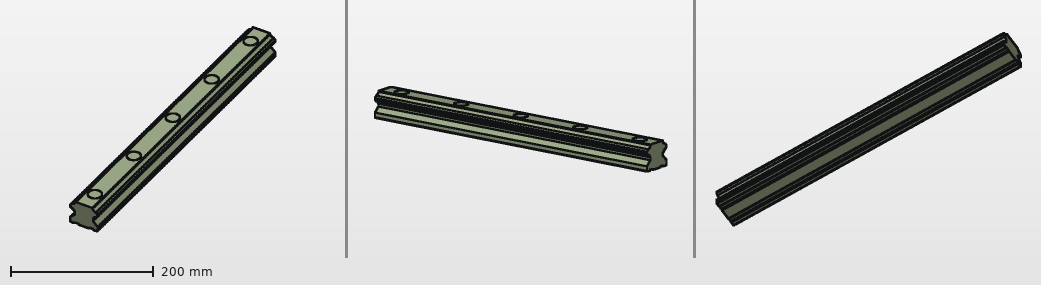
import cadquery as cq
import math

LENGTH = 480.0
WIDTH = 45.0
HEIGHT = 38.0
HALF_WIDTH = WIDTH / 2

TOP_HALF_WIDTH = 14.0
TOP_LAND = 1.5
TRACK_EDGE_HALF_WIDTH = 19.5
HEAD_SIDE_TOP = 29.5
HEAD_SIDE_BOTTOM = 27.0
TRACK_LIP = HALF_WIDTH - TRACK_EDGE_HALF_WIDTH
TRACK_SAG = 0.7

WAIST_HALF_WIDTH = 15.0
WAIST_TOP = 19.5
WAIST_BOTTOM = 15.5
FOOT_SIDE_TOP = 8.0
FOOT_BEVEL = 1.5

RELIEF_INNER = 8.0
RELIEF_OUTER = 16.0
RELIEF_DEPTH = 1.5

CAP_COUNT = 5
CAP_PITCH = 105.0
CAP_DIAMETER = 20.0
CAP_RECESS = 0.25


def arc_middle(start, end, sag):
    """Middle point of an arc bowed by sag to the right of the line from start to end."""
    dx = end[0] - start[0]
    dz = end[1] - start[1]
    chord = math.hypot(dx, dz)
    middle_x = (start[0] + end[0]) / 2 + sag * dz / chord
    middle_z = (start[1] + end[1]) / 2 - sag * dx / chord
    return middle_x, middle_z


def half_profile():
    """Right half of the rail cross-section, closed along the centre plane."""
    upper_start = (TOP_HALF_WIDTH, HEIGHT - TOP_LAND)
    upper_end = (TRACK_EDGE_HALF_WIDTH, HEAD_SIDE_TOP + TRACK_LIP)
    lower_start = (TRACK_EDGE_HALF_WIDTH, HEAD_SIDE_BOTTOM - TRACK_LIP)
    lower_end = (WAIST_HALF_WIDTH, WAIST_TOP)
    return (
        cq.Workplane("XZ")
        .moveTo(0, HEIGHT)
        .lineTo(TOP_HALF_WIDTH, HEIGHT)
        .lineTo(*upper_start)
        .threePointArc(arc_middle(upper_start, upper_end, TRACK_SAG), upper_end)
        .lineTo(HALF_WIDTH, HEAD_SIDE_TOP)
        .lineTo(HALF_WIDTH, HEAD_SIDE_BOTTOM)
        .lineTo(*lower_start)
        .threePointArc(arc_middle(lower_start, lower_end, TRACK_SAG), lower_end)
        .lineTo(WAIST_HALF_WIDTH, WAIST_BOTTOM)
        .lineTo(HALF_WIDTH, FOOT_SIDE_TOP)
        .lineTo(HALF_WIDTH, FOOT_BEVEL)
        .lineTo(HALF_WIDTH - FOOT_BEVEL, 0)
        .lineTo(RELIEF_OUTER, 0)
        .lineTo(RELIEF_OUTER - RELIEF_DEPTH, RELIEF_DEPTH)
        .lineTo(RELIEF_INNER + RELIEF_DEPTH, RELIEF_DEPTH)
        .lineTo(RELIEF_INNER, 0)
        .lineTo(0, 0)
        .close()
    )


def make_rail():
    """Full-length rail, symmetric about the centre plane and about mid-length."""
    half_rail = half_profile().extrude(LENGTH / 2, both=True)
    return half_rail.union(half_rail.mirror("YZ"))


def make_cap_recesses():
    """Row of shallow round recesses, one over each mounting-hole cap."""
    return (
        cq.Workplane("XY", origin=(0, 0, HEIGHT))
        .rarray(5, CAP_PITCH, 1, CAP_COUNT)
        .circle(CAP_DIAMETER / 2)
        .extrude(-CAP_RECESS)
    )


result = make_rail().cut(make_cap_recesses())